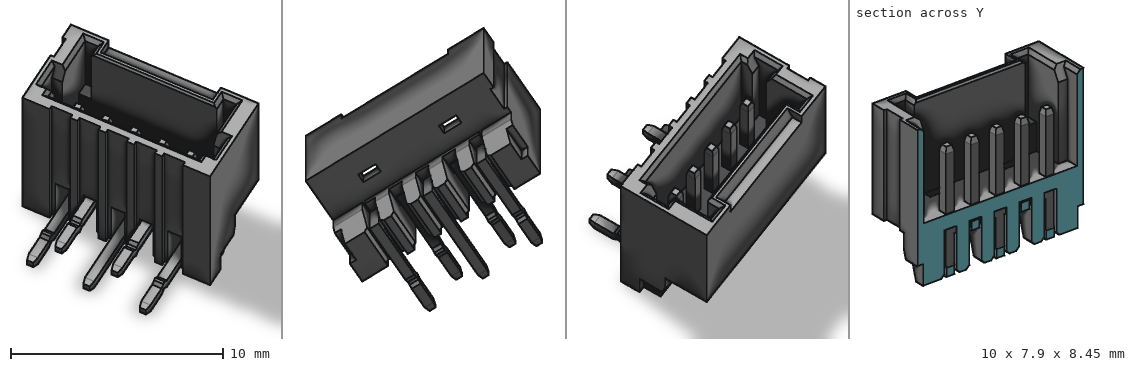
import cadquery as cq


WIDTH = 10.0
DEPTH = 4.9
HEIGHT = 8.45
HALF_WIDTH = WIDTH / 2

SHROUD_BOTTOM = 2.53
BASE_DEPTH = 2.53
BASE_FOOT_DEPTH = 2.04
LEAN_START_Z = 1.66

PIN_COUNT = 5
PITCH = 1.5
PIN_XS = [(i - (PIN_COUNT - 1) / 2) * PITCH for i in range(PIN_COUNT)]

GROOVE_WIDTH = 1.1
GROOVE_DEPTH = 0.2
TAIL_SLOT_WIDTH = 0.72
TAIL_SLOT_FLARE = (GROOVE_WIDTH - TAIL_SLOT_WIDTH) / 2

BRIDGE_BOTTOM = 2.165
BRIDGE_HALF_WIDTH = 3.2

FLOOR_Z = 3.35
CAVITY_HALF_WIDTH = 4.03
CAVITY_FRONT = 0.77
CAVITY_BACK = 3.83
MOUTH_CHAMFER = 0.21
BACK_CHAMFER = 0.11

POCKET_FLOOR_Z = 4.9
POCKET_INNER_X = 3.345
POCKET_BACK = 4.49

KEYWAY_END_X = 4.59
KEYWAY_FRONT = 1.4
KEYWAY_BACK = 2.2
LEAD_IN_WIDTH = 0.4
LEAD_IN_DEPTH = 0.75

NOTCH_HALF_WIDTH = 2.99
NOTCH_DEPTH = 0.55
NOTCH_TOP_Y = 4.09
NOTCH_FLOOR_Y = 4.38

WINDOW_INNER_X = 1.78
WINDOW_OUTER_X = 2.75
WINDOW_FRONT = 3.36
WINDOW_BACK = 3.81

SIDE_GROOVE_FRONT = 2.85
SIDE_GROOVE_BACK = 4.03
SIDE_GROOVE_DEPTH = 0.18
RELIEF_FRONT = 1.08
RELIEF_TOP = 1.16
RELIEF_DEPTH = 0.35

PIN_SIZE = 0.5
POST_Y = 1.79
POST_FRONT = POST_Y - PIN_SIZE / 2
POST_TOP = 6.9
TAIL_END_Y = -3.0
LOWER_TAIL_Z = PIN_SIZE / 2
UPPER_TAIL_Z = 2.23
TIP_LENGTH = 0.32
TIP_SIZE = 0.34
BEND_RADIUS = 0.08

KINK_Y = -1.31
KINK_HALF_LENGTH = 0.27
KINK_CREST_HALF_LENGTH = 0.08
KINK_SHOULDER = 0.12
KINK_HEIGHT = 0.17


def block(x0, x1, y0, y1, z0, z1):
    """Box between two opposite corners."""
    return cq.Workplane("XY").box(x1 - x0, y1 - y0, z1 - z0, centered=False).translate((x0, y0, z0))


def side_prism(points, half_width):
    """YZ outline extruded along X, centred on X = 0."""
    return cq.Workplane("YZ").polyline(points).close().extrude(half_width, both=True)


def frustum(lower, upper, z0, z1):
    """Solid between two rectangles, each given as (x0, x1, y0, y1)."""

    def rectangle(bounds, z):
        x0, x1, y0, y1 = bounds
        corners = [(x0, y0, z), (x1, y0, z), (x1, y1, z), (x0, y1, z)]
        return cq.Wire.makePolygon([cq.Vector(*corner) for corner in corners], close=True)

    return cq.Workplane(obj=cq.Solid.makeLoft([rectangle(lower, z0), rectangle(upper, z1)], True))


def with_mirror(shape):
    """The shape together with its reflection across X = 0."""
    return shape.union(shape.mirror("YZ"))


def housing_body():
    outline = [
        (0, 0),
        (BASE_FOOT_DEPTH, 0),
        (BASE_DEPTH, LEAN_START_Z),
        (BASE_DEPTH, SHROUD_BOTTOM),
        (DEPTH, SHROUD_BOTTOM),
        (DEPTH, HEIGHT),
        (0, HEIGHT),
    ]
    return side_prism(outline, HALF_WIDTH)


def front_groove(x):
    half = GROOVE_WIDTH / 2
    return block(x - half, x + half, 0, GROOVE_DEPTH, 0, HEIGHT)


def tail_slot(x):
    """Slot through the base, flared to the groove width at the underside."""
    half = TAIL_SLOT_WIDTH / 2
    flared = half + TAIL_SLOT_FLARE
    slot = block(x - half, x + half, 0, BASE_DEPTH, 0, SHROUD_BOTTOM)
    mouth = (x - flared, x + flared, 0, BASE_DEPTH)
    throat = (x - half, x + half, 0, BASE_DEPTH)
    return slot.union(frustum(mouth, throat, 0, TAIL_SLOT_FLARE))


def bridge():
    return block(
        -BRIDGE_HALF_WIDTH, BRIDGE_HALF_WIDTH, POST_FRONT, BASE_DEPTH, BRIDGE_BOTTOM, SHROUD_BOTTOM
    )


def main_cavity():
    """Pin chamber, chamfered around its mouth."""
    x = CAVITY_HALF_WIDTH
    chamber = block(-x, x, CAVITY_FRONT, CAVITY_BACK, FLOOR_Z, HEIGHT)
    mouth_x = x + MOUTH_CHAMFER
    mouth = frustum(
        (-x, x, CAVITY_FRONT, CAVITY_BACK),
        (-mouth_x, mouth_x, CAVITY_FRONT - MOUTH_CHAMFER, CAVITY_BACK),
        HEIGHT - MOUTH_CHAMFER,
        HEIGHT,
    )
    rear_edge = [
        (CAVITY_BACK, HEIGHT - BACK_CHAMFER),
        (CAVITY_BACK + BACK_CHAMFER, HEIGHT),
        (CAVITY_BACK, HEIGHT),
    ]
    return chamber.union(mouth).union(side_prism(rear_edge, POCKET_INNER_X))


def corner_pockets():
    pocket = block(POCKET_INNER_X, CAVITY_HALF_WIDTH, CAVITY_BACK, POCKET_BACK, POCKET_FLOOR_Z, HEIGHT)
    mouth = frustum(
        (POCKET_INNER_X, CAVITY_HALF_WIDTH, CAVITY_BACK, POCKET_BACK),
        (
            POCKET_INNER_X - MOUTH_CHAMFER,
            CAVITY_HALF_WIDTH + MOUTH_CHAMFER,
            CAVITY_BACK,
            POCKET_BACK + MOUTH_CHAMFER,
        ),
        HEIGHT - MOUTH_CHAMFER,
        HEIGHT,
    )
    return with_mirror(pocket.union(mouth))


def keyways():
    """Side slots with a long lead-in on their flanks and a chamfer at their ends."""
    slot = block(0, KEYWAY_END_X, KEYWAY_FRONT, KEYWAY_BACK, FLOOR_Z, HEIGHT)
    lead_in_front = KEYWAY_FRONT - LEAD_IN_WIDTH
    lead_in_back = KEYWAY_BACK + LEAD_IN_WIDTH
    lead_in = frustum(
        (0, KEYWAY_END_X, KEYWAY_FRONT, KEYWAY_BACK),
        (0, KEYWAY_END_X, lead_in_front, lead_in_back),
        HEIGHT - LEAD_IN_DEPTH,
        HEIGHT,
    )
    flank_shift = LEAD_IN_WIDTH * MOUTH_CHAMFER / LEAD_IN_DEPTH
    end_chamfer = frustum(
        (0, KEYWAY_END_X, lead_in_front + flank_shift, lead_in_back - flank_shift),
        (0, KEYWAY_END_X + MOUTH_CHAMFER, lead_in_front, lead_in_back),
        HEIGHT - MOUTH_CHAMFER,
        HEIGHT,
    )
    return with_mirror(slot.union(lead_in).union(end_chamfer))


def rear_notch():
    outline = [
        (DEPTH, HEIGHT - NOTCH_DEPTH),
        (NOTCH_FLOOR_Y, HEIGHT - NOTCH_DEPTH),
        (NOTCH_TOP_Y, HEIGHT),
        (DEPTH, HEIGHT),
    ]
    return side_prism(outline, NOTCH_HALF_WIDTH)


def floor_windows():
    window = block(WINDOW_INNER_X, WINDOW_OUTER_X, WINDOW_FRONT, WINDOW_BACK, SHROUD_BOTTOM, FLOOR_Z)
    return with_mirror(window)


def side_groove():
    return block(
        -HALF_WIDTH,
        -HALF_WIDTH + SIDE_GROOVE_DEPTH,
        SIDE_GROOVE_FRONT,
        SIDE_GROOVE_BACK,
        SHROUD_BOTTOM,
        HEIGHT,
    )


def corner_reliefs():
    return with_mirror(
        block(HALF_WIDTH - RELIEF_DEPTH, HALF_WIDTH, RELIEF_FRONT, BASE_DEPTH, 0, RELIEF_TOP)
    )


def housing():
    body = housing_body()
    for x in PIN_XS:
        body = body.cut(front_groove(x)).cut(tail_slot(x))
    body = body.union(bridge())
    body = body.cut(main_cavity()).cut(corner_pockets()).cut(keyways())
    body = body.cut(rear_notch()).cut(floor_windows())
    return body.cut(side_groove()).cut(corner_reliefs())


def kinked_edge(outline, z, direction, rise):
    """Adds a kink to a tail edge at height z, drawn towards +Y (1) or -Y (-1)."""
    start = KINK_Y - direction * KINK_HALF_LENGTH
    crest_start = KINK_Y - direction * KINK_CREST_HALF_LENGTH
    crest_end = KINK_Y + direction * KINK_CREST_HALF_LENGTH
    end = KINK_Y + direction * KINK_HALF_LENGTH
    shoulder = z + rise * KINK_SHOULDER
    return (
        outline.lineTo(start, z)
        .lineTo(crest_start, shoulder)
        .threePointArc((KINK_Y, z + rise * KINK_HEIGHT), (crest_end, shoulder))
        .lineTo(end, z)
    )


def pin_tip():
    """Tapered tip standing on Z = 0 and pointing up."""
    base = PIN_SIZE / 2
    end = TIP_SIZE / 2
    return frustum((-base, base, -base, base), (-end, end, -end, end), 0, TIP_LENGTH)


def pin(x, tail_z, rise):
    """L-shaped square pin; rise is 1 or -1 for a kink up or down, 0 for a straight tail."""
    half = PIN_SIZE / 2
    tail_start = TAIL_END_Y + TIP_LENGTH
    post_end = POST_TOP - TIP_LENGTH
    tail_top = tail_z + half
    tail_bottom = tail_z - half
    post_back = POST_Y + half

    outline = cq.Workplane("YZ").moveTo(tail_start, tail_bottom)
    if rise:
        outline = kinked_edge(outline, tail_bottom, 1, rise)
    outline = (
        outline.lineTo(post_back, tail_bottom)
        .lineTo(post_back, post_end)
        .lineTo(POST_FRONT, post_end)
        .lineTo(POST_FRONT, tail_top + BEND_RADIUS)
        .radiusArc((POST_FRONT - BEND_RADIUS, tail_top), BEND_RADIUS)
    )
    if rise:
        outline = kinked_edge(outline, tail_top, -1, rise)
    shank = outline.lineTo(tail_start, tail_top).close().extrude(half, both=True)

    post_tip = pin_tip().translate((0, POST_Y, post_end))
    tail_tip = pin_tip().rotate((0, 0, 0), (1, 0, 0), 90).translate((0, tail_start, tail_z))
    return shank.union(post_tip).union(tail_tip).translate((x, 0, 0))


result = housing()
for index, pin_x in enumerate(PIN_XS):
    is_middle = index == PIN_COUNT // 2
    if is_middle:
        result = result.union(pin(pin_x, LOWER_TAIL_Z, 0))
    elif index % 2 == 0:
        result = result.union(pin(pin_x, LOWER_TAIL_Z, 1))
    else:
        result = result.union(pin(pin_x, UPPER_TAIL_Z, -1))